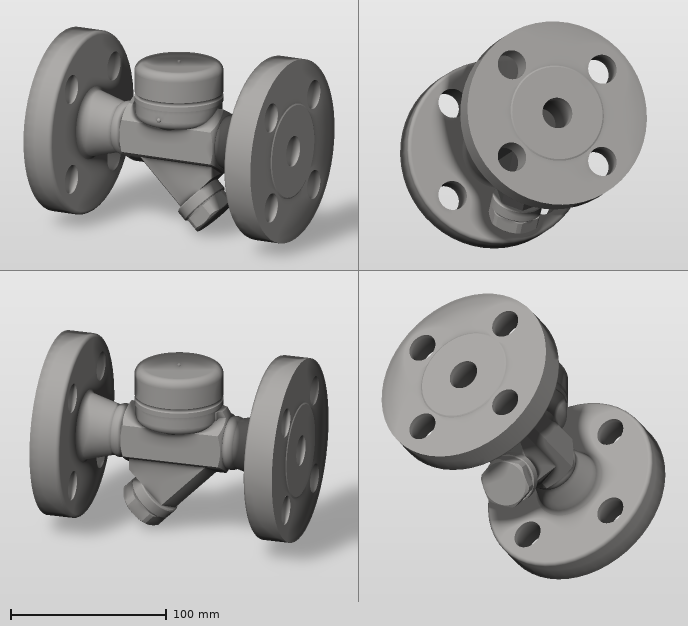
import cadquery as cq
import math

LENGTH = 165.0
FLANGE_RADIUS = 120.0 / 2
FLANGE_BACK_X = 62.4
FLANGE_ROUND = 2.3
RAISED_FACE_HEIGHT = 0.5
RAISED_FACE_RADIUS = 30.2
RAISED_FACE_BASE_RADIUS = 31.2
NECK_ROUND_X = 59.9
NECK_ROUND_RADIUS = 23.8
CONE_WIDE_RADIUS = 21.5
CONE_NARROW_RADIUS = 16.3
CONE_NARROW_X = 41.4
SPIGOT_RADIUS = 34.0 / 2
BEAD_CREST_X = 38.1
BEAD_CREST_RADIUS = 17.5
BORE_DIAMETER = 20.0
BOLT_HOLE_DIAMETER = 19.0
BOLT_OFFSET = 30.2

HEX_LENGTH = 69.0
HEX_ACROSS_FLATS = 37.1
HEX_END_RADIUS = 17.3
HEX_CHAMFER_ANGLE = 60.0
HEX_CLIP_RADIUS = 26.4

CAP_RADIUS = 57.5 / 2
CAP_TOP_Z = 48.8
CAP_ROUND = 5.3
CAP_BOTTOM_Z = 29.7
GROOVE_RADIUS = 27.5
RING_TOP_Z = 26.9
RING_BOTTOM_Z = 23.8
BOWL_RADIUS = 56.0 / 2
BOWL_ROUND = 5.5
BOWL_BOTTOM_Z = 10.5
FOOT_TOP_RADIUS = 20.8
FOOT_BOTTOM_RADIUS = 17.5
FOOT_BOTTOM_Z = 7.0
NIB_DIAMETER = 2.0
NIB_HEIGHT = 1.2
BALL_DIAMETER = 3.0
BALL_CENTRE_Y = -28.5
BALL_CENTRE_Z = 17.3

LUG_WIDTH = 10.4
LUG_TOP_Z = 22.6
LUG_FILLET_RADIUS = 2.6
LUG_FILLET_X = -30.7

BRANCH_SLOPE = 45.0
BRANCH_AXIS_OFFSET = 17.8
BRANCH_START = -6.6
BRANCH_END = 36.6
BRANCH_HALF_WIDTH = 12.4
BRANCH_RIDGE = 15.2
BRANCH_SHOULDER = 7.6
BRANCH_SIDE_X = 29.7
COLLAR_RADIUS = 16.5
COLLAR_LENGTH = 8.1
COLLAR_CHAMFER = 0.7

PLUG_SEAT_RADIUS = 15.2
PLUG_SEAT_LENGTH = 1.0
PLUG_HEX_LENGTH = 9.2
PLUG_ACROSS_FLATS = 30.0
PLUG_CORNER_RADIUS = 16.5
PLUG_END_CHAMFER = 1.3
PLUG_END_CHAMFER_WIDTH = 2.0


def hex_circumscribed_diameter(across_flats):
    return across_flats / math.cos(math.radians(30))


def quarter_arc_inset(radius):
    """Distance from each tangent line of a quarter arc to the arc's midpoint."""
    return radius * (1 - math.sqrt(0.5))


def branch_frame(distance):
    """Plane square to the branch axis: local x points up the slope's normal, local y along Y."""
    slope = math.radians(BRANCH_SLOPE)
    along = (math.cos(slope), 0, -math.sin(slope))
    upward = (math.sin(slope), 0, math.cos(slope))
    origin = tuple(distance * a - BRANCH_AXIS_OFFSET * u for a, u in zip(along, upward))
    return cq.Plane(origin=origin, xDir=upward, normal=along)


def make_flange():
    """Outlet flange with its raised face, welding neck, blind bore and bolt holes."""
    rim_x = LENGTH / 2 - RAISED_FACE_HEIGHT
    round_inset = quarter_arc_inset(FLANGE_ROUND)
    neck = (
        cq.Workplane("XZ")
        .moveTo(0, 0)
        .lineTo(0, SPIGOT_RADIUS)
        .lineTo(HEX_LENGTH / 2, SPIGOT_RADIUS)
        .threePointArc((BEAD_CREST_X, BEAD_CREST_RADIUS), (CONE_NARROW_X, CONE_NARROW_RADIUS))
        .lineTo(NECK_ROUND_X, CONE_WIDE_RADIUS)
        .tangentArcPoint((FLANGE_BACK_X, NECK_ROUND_RADIUS), relative=False)
        .lineTo(FLANGE_BACK_X, FLANGE_RADIUS - FLANGE_ROUND)
        .threePointArc(
            (FLANGE_BACK_X + round_inset, FLANGE_RADIUS - round_inset),
            (FLANGE_BACK_X + FLANGE_ROUND, FLANGE_RADIUS),
        )
        .lineTo(rim_x, FLANGE_RADIUS)
        .lineTo(rim_x, RAISED_FACE_BASE_RADIUS)
        .lineTo(LENGTH / 2, RAISED_FACE_RADIUS)
        .lineTo(LENGTH / 2, 0)
        .close()
        .revolve(360, (0, 0, 0), (1, 0, 0))
    )
    bore = (
        cq.Workplane("YZ", origin=(CONE_NARROW_X, 0, 0))
        .circle(BORE_DIAMETER / 2)
        .extrude(LENGTH / 2 - CONE_NARROW_X)
    )
    bolt_holes = (
        cq.Workplane("YZ", origin=(FLANGE_BACK_X, 0, 0))
        .rect(2 * BOLT_OFFSET, 2 * BOLT_OFFSET, forConstruction=True)
        .vertices()
        .circle(BOLT_HOLE_DIAMETER / 2)
        .extrude(LENGTH / 2 - FLANGE_BACK_X)
    )
    return neck.cut(bore).cut(bolt_holes)


def make_lug():
    """Block beside the chamber, widened by a concave fillet where it meets the bowl."""
    inner_x = -BOWL_RADIUS + LUG_FILLET_RADIUS
    lug = (
        cq.Workplane("XY", origin=(-HEX_LENGTH / 2, 0, 0))
        .box(HEX_LENGTH / 2 + inner_x, LUG_WIDTH, LUG_TOP_Z, centered=(False, True, False))
    )
    half_width = LUG_WIDTH / 2
    inset = quarter_arc_inset(LUG_FILLET_RADIUS)
    root_x = LUG_FILLET_X + LUG_FILLET_RADIUS
    for side in (-1, 1):
        fillet = (
            cq.Workplane("XY")
            .moveTo(LUG_FILLET_X, side * half_width)
            .threePointArc(
                (root_x - inset, side * (half_width + inset)),
                (root_x, side * (half_width + LUG_FILLET_RADIUS)),
            )
            .lineTo(inner_x, side * (half_width + LUG_FILLET_RADIUS))
            .lineTo(inner_x, side * half_width)
            .close()
            .extrude(LUG_TOP_Z)
        )
        lug = lug.union(fillet)
    return lug


def make_hex_body():
    """Hexagonal bar with a corner upward and its lug, both turned off conically at the ends."""
    bar = (
        cq.Workplane("YZ")
        .transformed(rotate=(0, 0, 90))
        .polygon(6, hex_circumscribed_diameter(HEX_ACROSS_FLATS))
        .extrude(HEX_LENGTH / 2, both=True)
    )
    chamfer_run = (HEX_CLIP_RADIUS - HEX_END_RADIUS) / math.tan(math.radians(HEX_CHAMFER_ANGLE))
    half_length = HEX_LENGTH / 2
    clip = (
        cq.Workplane("XY")
        .moveTo(-half_length, 0)
        .lineTo(-half_length, HEX_END_RADIUS)
        .lineTo(-half_length + chamfer_run, HEX_CLIP_RADIUS)
        .lineTo(half_length - chamfer_run, HEX_CLIP_RADIUS)
        .lineTo(half_length, HEX_END_RADIUS)
        .lineTo(half_length, 0)
        .close()
        .revolve(360, (0, 0, 0), (1, 0, 0))
    )
    return bar.union(make_lug()).intersect(clip)


def make_chamber():
    """Round chamber above the hexagon: foot, bowl, ring, groove, cap, top nib and side ball."""
    cap_inset = quarter_arc_inset(CAP_ROUND)
    bowl_inset = quarter_arc_inset(BOWL_ROUND)
    turned = (
        cq.Workplane("XZ")
        .moveTo(0, FOOT_BOTTOM_Z)
        .lineTo(FOOT_BOTTOM_RADIUS, FOOT_BOTTOM_Z)
        .lineTo(FOOT_TOP_RADIUS, BOWL_BOTTOM_Z)
        .lineTo(BOWL_RADIUS - BOWL_ROUND, BOWL_BOTTOM_Z)
        .threePointArc(
            (BOWL_RADIUS - bowl_inset, BOWL_BOTTOM_Z + bowl_inset),
            (BOWL_RADIUS, BOWL_BOTTOM_Z + BOWL_ROUND),
        )
        .lineTo(BOWL_RADIUS, RING_BOTTOM_Z)
        .lineTo(CAP_RADIUS, RING_BOTTOM_Z)
        .lineTo(CAP_RADIUS, RING_TOP_Z)
        .threePointArc((GROOVE_RADIUS, (RING_TOP_Z + CAP_BOTTOM_Z) / 2), (CAP_RADIUS, CAP_BOTTOM_Z))
        .lineTo(CAP_RADIUS, CAP_TOP_Z - CAP_ROUND)
        .threePointArc(
            (CAP_RADIUS - cap_inset, CAP_TOP_Z - cap_inset),
            (CAP_RADIUS - CAP_ROUND, CAP_TOP_Z),
        )
        .lineTo(0, CAP_TOP_Z)
        .close()
        .revolve(360, (0, 0, 0), (0, 1, 0))
    )
    nib = cq.Workplane("XY", origin=(0, 0, CAP_TOP_Z)).circle(NIB_DIAMETER / 2).extrude(NIB_HEIGHT)
    ball = cq.Workplane("XY").sphere(BALL_DIAMETER / 2).translate((0, BALL_CENTRE_Y, BALL_CENTRE_Z))
    return turned.union(nib).union(ball)


def make_branch():
    """Ridged strainer branch cut off upright on its outlet side, ending in a round collar."""
    prism = (
        cq.Workplane(branch_frame(BRANCH_START))
        .moveTo(-BRANCH_RIDGE, 0)
        .lineTo(-BRANCH_SHOULDER, BRANCH_HALF_WIDTH)
        .lineTo(BRANCH_SIDE_X, BRANCH_HALF_WIDTH)
        .lineTo(BRANCH_SIDE_X, -BRANCH_HALF_WIDTH)
        .lineTo(-BRANCH_SHOULDER, -BRANCH_HALF_WIDTH)
        .close()
        .extrude(BRANCH_END - BRANCH_START)
    )
    envelope = (
        cq.Workplane("XY")
        .box(2 * BRANCH_SIDE_X, 2 * BRANCH_HALF_WIDTH, LENGTH / 2, centered=(True, True, False))
        .translate((0, 0, -LENGTH / 2))
    )
    collar = (
        cq.Workplane(branch_frame(BRANCH_END))
        .circle(COLLAR_RADIUS)
        .extrude(COLLAR_LENGTH)
        .edges("%CIRCLE")
        .chamfer(COLLAR_CHAMFER)
    )
    return prism.intersect(envelope).union(collar)


def make_valve_body():
    outlet = make_flange()
    inlet = outlet.mirror("YZ")
    return make_hex_body().union(outlet).union(inlet).union(make_chamber()).union(make_branch())


def make_plug():
    """Hexagonal plug with a round seat against the collar and its corners turned off."""
    seat_start = BRANCH_END + COLLAR_LENGTH
    hex_start = seat_start + PLUG_SEAT_LENGTH
    seat = cq.Workplane(branch_frame(seat_start)).circle(PLUG_SEAT_RADIUS).extrude(PLUG_SEAT_LENGTH)
    head = (
        cq.Workplane(branch_frame(hex_start))
        .polygon(6, hex_circumscribed_diameter(PLUG_ACROSS_FLATS))
        .extrude(PLUG_HEX_LENGTH)
    )
    turned_envelope = (
        cq.Workplane(branch_frame(hex_start))
        .circle(PLUG_CORNER_RADIUS)
        .extrude(PLUG_HEX_LENGTH)
        .faces(cq.selectors.DirectionMinMaxSelector(branch_frame(0).zDir, True))
        .chamfer(PLUG_END_CHAMFER, PLUG_END_CHAMFER_WIDTH)
    )
    return seat.union(head.intersect(turned_envelope))


valve_body = make_valve_body()
strainer_plug = make_plug()
result = cq.Compound.makeCompound([valve_body.val(), strainer_plug.val()])